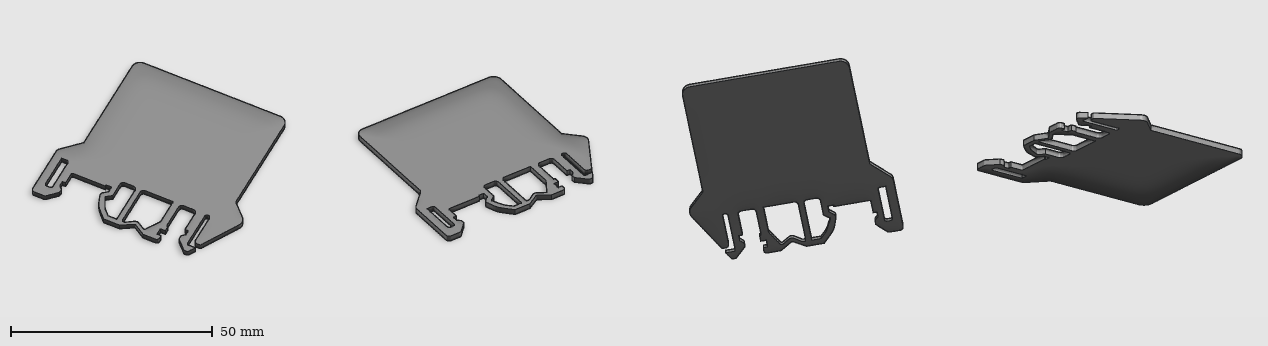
import cadquery as cq
import math

width = 51.2
height = 48.5
thickness = 1.5

panel_left = 4.9
panel_right = 46.95
panel_radius = 2.2
shoulder_y = 19.4
left_shoulder_radius = 1.55
right_shoulder_radius = 2.05
shoulder_angle = 45.0
wing_angle = 60.0

opening_top = 12.55
opening_radius = 0.9
window_floor = 1.45
lobe_ledge = 1.65

catch_depth = 0.9
catch_top = 6.0
catch_bottom = 4.65
foot_inner_top = 3.8
foot_inner_bottom = 2.7
left_foot_inner = 6.55
right_foot_inner = 39.55
foot_radius = 0.9

slit_left = 42.05
slit_right = 43.4
slit_radius = 0.6
hook_y = 2.0
hook_x = 44.5
wing_bottom = 3.3

slot_left = 2.2
slot_right = 4.2
slot_bottom = 3.05
slot_radius = 0.55

rib_left = 22.95
rib_right = 24.4
left_window_left = 18.8
right_window_right = 33.05
lobe_right = 35.0


def rounded_outline(corners):
    """Closed wire through (x, y, radius) corners; radius zero leaves a sharp corner."""
    stretches = []
    for i, (x, y, radius) in enumerate(corners):
        corner = cq.Vector(x, y)
        if radius == 0:
            stretches.append((corner, None, corner))
            continue
        before = cq.Vector(*corners[i - 1][:2])
        after = cq.Vector(*corners[(i + 1) % len(corners)][:2])
        back = (before - corner).normalized()
        ahead = (after - corner).normalized()
        half_angle = back.getAngle(ahead) / 2
        setback = radius / math.tan(half_angle)
        depth = radius / math.sin(half_angle) - radius
        middle = corner + (back + ahead).normalized() * depth
        stretches.append((corner + back * setback, middle, corner + ahead * setback))

    edges = []
    for i, (start, middle, end) in enumerate(stretches):
        previous_end = stretches[i - 1][2]
        edges.append(cq.Edge.makeLine(previous_end, start))
        if middle is not None:
            edges.append(cq.Edge.makeThreePointArc(start, middle, end))
    return cq.Wire.assembleEdges(edges)


def foot_catch(inner_x, side):
    """Catch corners from the foot upward; side is the direction into the foot."""
    return [
        (inner_x, foot_inner_bottom, 0),
        (inner_x, foot_inner_top, 0.2),
        (inner_x + side * catch_depth, catch_bottom, 0),
        (inner_x + side * catch_depth, catch_top, 0),
        (inner_x, catch_top, 0),
    ]


def wing_tip():
    """Virtual right corner whose rounding just reaches the full width."""
    half_corner = math.radians((shoulder_angle + wing_angle) / 2)
    lean = math.radians((wing_angle - shoulder_angle) / 2)
    overshoot = right_shoulder_radius * (math.cos(lean) / math.sin(half_corner) - 1)
    x = width + overshoot
    y = shoulder_y - (x - panel_right) * math.tan(math.radians(shoulder_angle))
    return x, y


def plate_outline():
    tip_x, tip_y = wing_tip()
    wing_bottom_x = tip_x - (tip_y - wing_bottom) / math.tan(math.radians(wing_angle))
    left_shoulder_drop = panel_left * math.tan(math.radians(shoulder_angle))

    left_foot = [(0, 0, foot_radius), (3.85, 0, foot_radius)]
    left_foot += foot_catch(left_foot_inner, -1)

    rail_recess = [
        (left_foot_inner, 9.5, 0.35),
        (15.85, 9.5, 0),
        (15.85, 9.9, 0),
        (17.3, 9.9, 0),
        (17.3, 8.3, 0),
    ]
    central_lobe = [
        (15.65, 6.9, 1.0),
        (16.9, 3.3, 6.15),
        (20.05, 0, 0),
        (24.5, 0, 0),
        (27.75, 2.0, 0.5),
        (30.95, 0, 0),
        (35.15, 0, 0.75),
        (35.15, lobe_ledge, 0.2),
        (34.0, lobe_ledge, 0),
        (34.0, 3.5, 0),
        (35.4, 3.5, 0),
        (35.4, 4.9, 0),
        (lobe_right, 5.15, 0),
    ]
    gap = [
        (lobe_right, opening_top, opening_radius),
        (right_foot_inner, opening_top, opening_radius),
    ]
    right_foot = foot_catch(right_foot_inner, 1)[::-1] + [
        (42.25, 0, 0.5),
        (43.3, 0, 0.5),
        (hook_x, hook_y, 0),
        (slit_left, hook_y, 0.4),
    ]
    wing = [
        (slit_left, opening_top, slit_radius),
        (slit_right, opening_top, slit_radius),
        (slit_right, wing_bottom, 0.85),
        (wing_bottom_x, wing_bottom, 0.25),
        (tip_x, tip_y, right_shoulder_radius),
    ]
    panel = [
        (panel_right, shoulder_y, 0),
        (panel_right, height, panel_radius),
        (panel_left, height, panel_radius),
        (panel_left, shoulder_y, 0),
        (0, shoulder_y - left_shoulder_drop, left_shoulder_radius),
    ]
    return rounded_outline(left_foot + rail_recess + central_lobe + gap + right_foot + wing + panel)


def left_foot_slot():
    return rounded_outline([
        (slot_left, slot_bottom, slot_radius),
        (slot_right, slot_bottom, slot_radius),
        (slot_right, opening_top, slot_radius),
        (slot_left, opening_top, 0),
    ])


def left_window():
    return rounded_outline([
        (left_window_left, opening_top, opening_radius),
        (left_window_left, 7.65, 0),
        (17.2, 6.45, 0.4),
        (18.9, 3.1, 4.1),
        (20.6, window_floor, 0),
        (rib_left, window_floor, 0),
        (rib_left, opening_top, opening_radius),
    ])


def right_window():
    return rounded_outline([
        (rib_right, opening_top, opening_radius),
        (rib_right, window_floor, 0.3),
        (25.2, window_floor, 0.6),
        (27.75, 3.2, 1.25),
        (30.55, window_floor, 0.4),
        (right_window_right, 5.6, 0),
        (right_window_right, opening_top, 0),
    ])


openings = [left_foot_slot(), left_window(), right_window()]
plate = cq.Solid.extrudeLinear(plate_outline(), openings, cq.Vector(0, 0, thickness))
result = cq.Workplane("XY").newObject([plate])